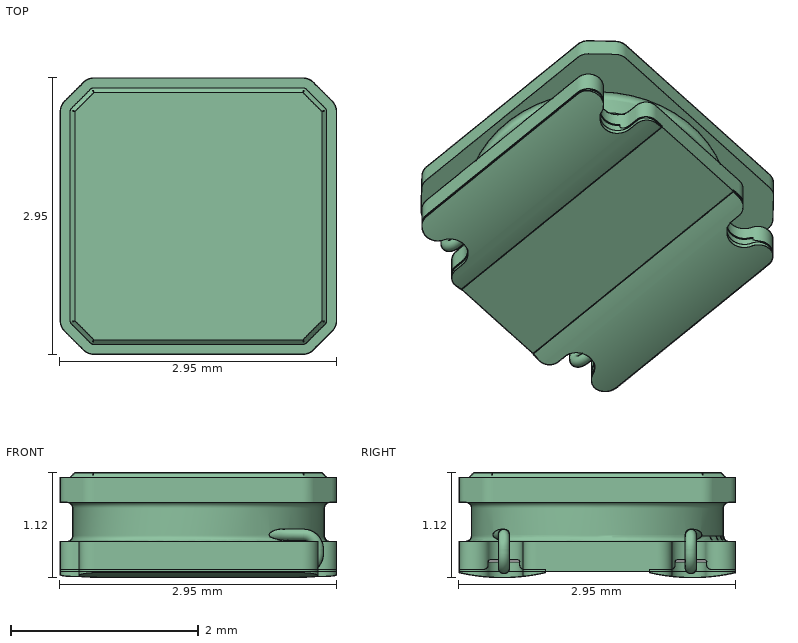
import cadquery as cq
import math


DIAGONAL = math.sqrt(0.5)

SIDE = 2.95
HALF = SIDE / 2
CORNER_CHAMFER = 0.295
CORNER_RADIUS = 0.162
CORNER_TURN = math.radians(45)

FLANGE_BOTTOM = 0.065
ELECTRODE_TOP = 0.088
FLANGE_TOP = 0.385
UPPER_FLANGE_BOTTOM = 0.802
PAD_BOTTOM = 1.07
PAD_TOP = 1.12

PAD_INSET = 0.105
PAD_BEVEL_ANGLE = 45
PAD_BEVEL = PAD_TOP - PAD_BOTTOM

POST_DIAMETER = 1.55
WINDING_BORE = 1.6
WINDING_DIAMETER = 2.595
SLEEVE_DIAMETER = 2.69
SLEEVE_FLARE = 0.06

NOTCH_RADIUS = 0.19
NOTCH_Y = 0.982
NOTCH_MOUTH_RADIUS = 0.148

ELECTRODE_INNER_Y = 0.555
GROOVE_WIDTH = 0.335
GROOVE_TOP = 0.19
GROOVE_FLARE = 0.047
RIDGE_TOP = 0.168
GROOVE_TOP_RADIUS = GROOVE_TOP - RIDGE_TOP

BUMP_EDGE_Z = 0.053

WIRE_DIAMETER = 0.12
LEAD_Z = 0.457
LEAD_X = 1.275
LEAD_Y = 0.997
LEAD_BEND_RADIUS = 0.153
LEAD_SWEEP_START_X = 1.018
LEAD_SWEEP_RADIUS = 0.545
LEAD_SWEEP_ANGLE = math.radians(16)
LEAD_DROP_END_Z = 0.257
LEAD_TAIL = 0.235

WINDOW_HEIGHT = UPPER_FLANGE_BOTTOM - FLANGE_TOP
LOBE_X = HALF - CORNER_CHAMFER - CORNER_RADIUS * math.tan(CORNER_TURN / 2)
LOBE_Y = HALF - CORNER_RADIUS
NOTCH_X = LOBE_X + math.sqrt((CORNER_RADIUS + NOTCH_RADIUS) ** 2 - (LOBE_Y - NOTCH_Y) ** 2)


def octagon(half, chamfer, z):
    """Square with cut corners, drawn at height z."""
    return cq.Workplane("XY", origin=(0, 0, z)).polyline([
        (half, half - chamfer),
        (half - chamfer, half),
        (chamfer - half, half),
        (-half, half - chamfer),
        (-half, chamfer - half),
        (chamfer - half, -half),
        (half - chamfer, -half),
        (half, chamfer - half),
    ]).close()


def lower_outline_prism(bottom, top):
    """Prism with the notched outline of the lower flange."""
    touch = CORNER_RADIUS / (CORNER_RADIUS + NOTCH_RADIUS)
    touch_x = LOBE_X + touch * (NOTCH_X - LOBE_X)
    touch_y = LOBE_Y + touch * (NOTCH_Y - LOBE_Y)
    mouth_y = NOTCH_Y - NOTCH_RADIUS
    mouth_end = NOTCH_MOUTH_RADIUS * (1 - DIAGONAL)
    quarter = (
        cq.Workplane("XY", origin=(0, 0, bottom))
        .lineTo(0, HALF)
        .lineTo(LOBE_X, HALF)
        .threePointArc((LOBE_X + CORNER_RADIUS, LOBE_Y), (touch_x, touch_y))
        .threePointArc((NOTCH_X - NOTCH_RADIUS, NOTCH_Y), (NOTCH_X, mouth_y))
        .lineTo(HALF - NOTCH_MOUTH_RADIUS, mouth_y)
        .threePointArc((HALF - mouth_end, mouth_y - mouth_end), (HALF, mouth_y - NOTCH_MOUTH_RADIUS))
        .lineTo(HALF, 0)
        .close()
        .extrude(top - bottom)
    )
    half = quarter.union(quarter.mirror("YZ"))
    return half.union(half.mirror("XZ")).clean()


def along_x(profile_on_yz):
    """Extrude a profile of the YZ plane over the whole length in X."""
    return profile_on_yz.extrude(HALF, both=True)


def ridge_section(top, top_radius=0):
    """Electrode bar at +Y with a ridge up to the given level."""
    wall_inner = LEAD_Y - GROOVE_WIDTH / 2
    wall_outer = LEAD_Y + GROOVE_WIDTH / 2
    flare_mid = GROOVE_FLARE * (1 - DIAGONAL)
    flare_top = ELECTRODE_TOP + GROOVE_FLARE
    bar = along_x(
        cq.Workplane("YZ")
        .moveTo(ELECTRODE_INNER_Y, FLANGE_BOTTOM)
        .lineTo(HALF, FLANGE_BOTTOM)
        .lineTo(HALF, ELECTRODE_TOP)
        .lineTo(wall_outer + GROOVE_FLARE, ELECTRODE_TOP)
        .threePointArc((wall_outer + flare_mid, ELECTRODE_TOP + flare_mid), (wall_outer, flare_top))
        .lineTo(wall_outer, top)
        .lineTo(wall_inner, top)
        .lineTo(wall_inner, flare_top)
        .threePointArc(
            (wall_inner - flare_mid, ELECTRODE_TOP + flare_mid),
            (wall_inner - GROOVE_FLARE, ELECTRODE_TOP),
        )
        .lineTo(ELECTRODE_INNER_Y, ELECTRODE_TOP)
        .close()
    )
    if top_radius:
        bar = bar.faces(">Z").edges("|X").fillet(top_radius)
    return bar


def make_core():
    """Notched lower flange, post, upper flange and bevelled pad."""
    groove = ridge_section(GROOVE_TOP, GROOVE_TOP_RADIUS)
    lower = lower_outline_prism(FLANGE_BOTTOM, FLANGE_TOP).cut(groove).cut(groove.mirror("XZ"))
    post = cq.Workplane("XY", origin=(0, 0, FLANGE_TOP)).circle(POST_DIAMETER / 2).extrude(WINDOW_HEIGHT)
    upper = (
        octagon(HALF, CORNER_CHAMFER, UPPER_FLANGE_BOTTOM)
        .extrude(PAD_BOTTOM - UPPER_FLANGE_BOTTOM)
        .edges("|Z")
        .fillet(CORNER_RADIUS)
    )
    top_inset = PAD_INSET + PAD_BEVEL
    top_chamfer = CORNER_CHAMFER - top_inset * (2 - math.sqrt(2))
    pad = octagon(HALF - top_inset, top_chamfer, PAD_TOP).extrude(-PAD_BEVEL, taper=-PAD_BEVEL_ANGLE)
    return lower.union(post).union(upper).union(pad)


def make_lead():
    """Lead at +Y: leaves the winding, bends down through the notch and in under the flange."""
    sweep_center_y = LEAD_Y + LEAD_SWEEP_RADIUS
    half_angle = LEAD_SWEEP_ANGLE / 2

    def on_sweep(angle):
        return cq.Vector(
            LEAD_SWEEP_START_X - LEAD_SWEEP_RADIUS * math.sin(angle),
            sweep_center_y - LEAD_SWEEP_RADIUS * math.cos(angle),
            LEAD_Z,
        )

    sweep_end = on_sweep(LEAD_SWEEP_ANGLE)
    direction = cq.Vector(-math.cos(LEAD_SWEEP_ANGLE), math.sin(LEAD_SWEEP_ANGLE), 0)
    start = sweep_end - direction * sweep_end.dot(direction)

    bend_x = LEAD_X - LEAD_BEND_RADIUS
    bend_reach = LEAD_BEND_RADIUS * DIAGONAL
    upper_bend_z = LEAD_Z - LEAD_BEND_RADIUS
    tail_z = LEAD_DROP_END_Z - LEAD_BEND_RADIUS

    def at(x, z):
        return cq.Vector(x, LEAD_Y, z)

    path = cq.Wire.assembleEdges([
        cq.Edge.makeLine(start, sweep_end),
        cq.Edge.makeThreePointArc(sweep_end, on_sweep(half_angle), at(LEAD_SWEEP_START_X, LEAD_Z)),
        cq.Edge.makeLine(at(LEAD_SWEEP_START_X, LEAD_Z), at(bend_x, LEAD_Z)),
        cq.Edge.makeThreePointArc(
            at(bend_x, LEAD_Z), at(bend_x + bend_reach, upper_bend_z + bend_reach), at(LEAD_X, upper_bend_z)
        ),
        cq.Edge.makeLine(at(LEAD_X, upper_bend_z), at(LEAD_X, LEAD_DROP_END_Z)),
        cq.Edge.makeThreePointArc(
            at(LEAD_X, LEAD_DROP_END_Z),
            at(bend_x + bend_reach, LEAD_DROP_END_Z - bend_reach),
            at(bend_x, tail_z),
        ),
        cq.Edge.makeLine(at(bend_x, tail_z), at(bend_x - LEAD_TAIL, tail_z)),
    ])
    section = cq.Workplane(cq.Plane(origin=start, xDir=(0, 0, 1), normal=direction * -1))
    return section.circle(WIRE_DIAMETER / 2).sweep(path)


def make_coil():
    """Winding around the post, with a lead to each electrode."""
    lead = make_lead()
    winding = (
        cq.Workplane("XY", origin=(0, 0, FLANGE_TOP))
        .circle(WINDING_DIAMETER / 2)
        .circle(WINDING_BORE / 2)
        .extrude(WINDOW_HEIGHT)
    )
    return winding.union(lead).union(lead.mirror("XZ"))


def make_sleeve(coil):
    """Resin sleeve around the winding, flaring out to both flanges."""
    radius = SLEEVE_DIAMETER / 2
    bore_radius = WINDING_DIAMETER / 2
    flare_mid = SLEEVE_FLARE * (1 - DIAGONAL)
    sleeve = (
        cq.Workplane("XZ")
        .moveTo(bore_radius, FLANGE_TOP)
        .lineTo(radius + SLEEVE_FLARE, FLANGE_TOP)
        .threePointArc((radius + flare_mid, FLANGE_TOP + flare_mid), (radius, FLANGE_TOP + SLEEVE_FLARE))
        .lineTo(radius, UPPER_FLANGE_BOTTOM - SLEEVE_FLARE)
        .threePointArc(
            (radius + flare_mid, UPPER_FLANGE_BOTTOM - flare_mid),
            (radius + SLEEVE_FLARE, UPPER_FLANGE_BOTTOM),
        )
        .lineTo(bore_radius, UPPER_FLANGE_BOTTOM)
        .close()
        .revolve(360, (0, 0, 0), (0, 1, 0))
    )
    return sleeve.cut(coil)


def make_electrode(coil):
    """Electrode at +Y, flush with the flange bottom, its ridge around the lead."""
    outline = lower_outline_prism(FLANGE_BOTTOM, FLANGE_TOP)
    return ridge_section(RIDGE_TOP).intersect(outline).cut(coil)


def make_solder_bump(coil):
    """Solder bump under the electrode at +Y, with an arched underside."""
    middle_y = (ELECTRODE_INNER_Y + HALF) / 2
    arch = along_x(
        cq.Workplane("YZ")
        .moveTo(ELECTRODE_INNER_Y, FLANGE_BOTTOM)
        .lineTo(ELECTRODE_INNER_Y, BUMP_EDGE_Z)
        .threePointArc((middle_y, 0), (HALF, BUMP_EDGE_Z))
        .lineTo(HALF, FLANGE_BOTTOM)
        .close()
    )
    return arch.intersect(lower_outline_prism(0, FLANGE_BOTTOM)).cut(coil)


core = make_core()
coil = make_coil()
sleeve = make_sleeve(coil)
electrode = make_electrode(coil)
solder_bump = make_solder_bump(coil)

bodies = [core, coil, sleeve]
for end_body in (electrode, solder_bump):
    bodies.append(end_body)
    bodies.append(end_body.mirror("XZ"))

result = cq.Compound.makeCompound([body.solids().val() for body in bodies])